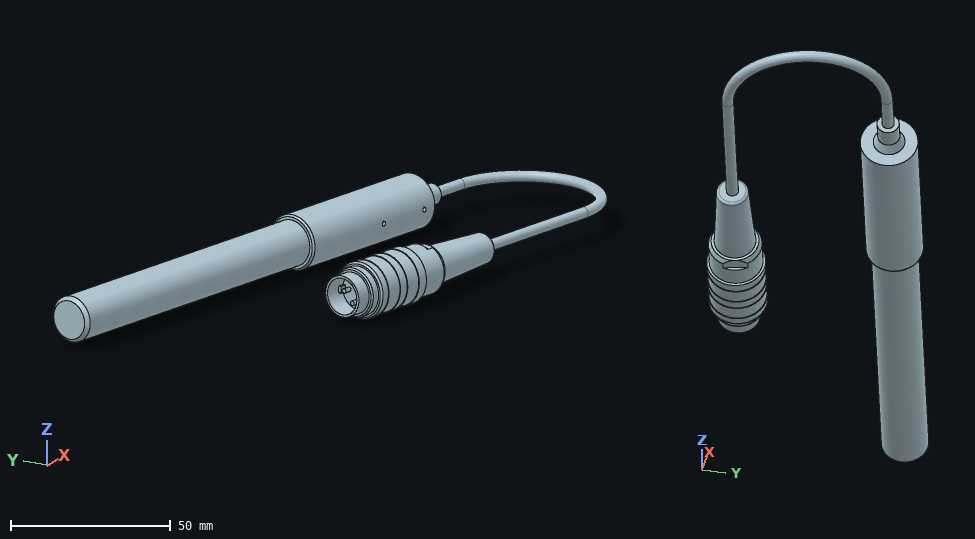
import cadquery as cq
import math

TILT = -13.1
LOOP_RADIUS = 25.0
AXIS_SPACING = 2 * LOOP_RADIUS
OVERCUT = 2.1

ROD_DIAMETER = 15.0
ROD_LENGTH = 110.0
ROD_TIP_CHAMFER = 1.3
HANDLE_DIAMETER = 18.2
HANDLE_LENGTH = 60.0
HANDLE_FRONT_CHAMFER = 0.6
NECK_BASE_DIAMETER = 10.0
NECK_DIAMETER = 7.0
NECK_CONE_LENGTH = 3.2
NECK_LENGTH = 10.1
HANDLE_END = ROD_LENGTH + HANDLE_LENGTH
NECK_END = HANDLE_END + NECK_LENGTH

SIDE_HOLE_DIAMETER = 1.5
SIDE_HOLE_DEPTH = 1.7
SIDE_HOLE_STATIONS = (HANDLE_END - 25.1, HANDLE_END - 5.0)

CABLE_DIAMETER = 3.8
LOOP_STATION = 193.8

PLUG_START = 74.2
NOSE_DIAMETER = 13.5
NOSE_LENGTH = 5.0
SHOULDER_DIAMETER = 16.0
SHOULDER_LENGTH = 3.2
SHOULDER_CHAMFER = 0.53
GRIP_RIB_DIAMETER = 18.5
GRIP_FRONT_CHAMFER = 0.6
GRIP_GROOVE_DIAMETER = 18.2
RIB_LENGTH = 3.5
GRIP_GROOVE_LENGTH = 5.7
RIB_COUNT = 3
TAIL_DIAMETER = 17.0
TAIL_END_DIAMETER = 15.0
TAIL_LENGTH = 11.5
TAIL_CHAMFER_LENGTH = 1.7
FLAT_HEIGHT = TAIL_END_DIAMETER / 2
FLAT_LENGTH = 4.0
NOSE_END = PLUG_START + NOSE_LENGTH
GRIP_START = NOSE_END + SHOULDER_LENGTH
GRIP_PITCH = RIB_LENGTH + GRIP_GROOVE_LENGTH
TAIL_START = GRIP_START + (RIB_COUNT - 1) * GRIP_PITCH + RIB_LENGTH
PLUG_END = TAIL_START + TAIL_LENGTH

SOCKET_DIAMETER = 11.8
SOCKET_DEPTH = 7.6
CONTACT_DIAMETER = 1.5
CONTACT_LENGTH = 2.5
CONTACT_CIRCLE_RADIUS = 3.4
CONTACT_COUNT = 4
KEY_WIDTH = 2.3
KEY_HEIGHT = 1.0
KEY_LENGTH = 2.1

BOOT_START_DIAMETER = 13.0
BOOT_END_DIAMETER = 10.1
BOOT_LENGTH = 27.9
BOOT_FILLET = 0.8
BOOT_END = PLUG_END + BOOT_LENGTH


def rod_along_x(diameter, start, end, y=0.0, z=0.0):
    """Cylinder whose axis is parallel to X."""
    plane = cq.Workplane("YZ", origin=(start, y, z))
    return plane.circle(diameter / 2).extrude(end - start)


def turned(profile):
    """Solid of revolution about X from (station, diameter) pairs."""
    outline = [(station, diameter / 2) for station, diameter in profile]
    outline = [(profile[0][0], 0)] + outline + [(profile[-1][0], 0)]
    return cq.Workplane("XY").polyline(outline).close().revolve(360, (0, 0, 0), (1, 0, 0))


def place(body, axis_offset=0.0):
    """Moves a body to its axis and tilts it about Z."""
    return body.translate((0, axis_offset, 0)).rotate((0, 0, 0), (0, 0, 1), TILT)


def make_probe():
    probe = turned([
        (0, ROD_DIAMETER - 2 * ROD_TIP_CHAMFER),
        (ROD_TIP_CHAMFER, ROD_DIAMETER),
        (ROD_LENGTH, ROD_DIAMETER),
        (ROD_LENGTH, HANDLE_DIAMETER - 2 * HANDLE_FRONT_CHAMFER),
        (ROD_LENGTH + HANDLE_FRONT_CHAMFER, HANDLE_DIAMETER),
        (HANDLE_END, HANDLE_DIAMETER),
        (HANDLE_END, NECK_BASE_DIAMETER),
        (HANDLE_END + NECK_CONE_LENGTH, NECK_DIAMETER),
        (NECK_END, NECK_DIAMETER),
    ])
    for station in SIDE_HOLE_STATIONS:
        floor = SIDE_HOLE_DEPTH - HANDLE_DIAMETER / 2
        plane = cq.Workplane("XZ", origin=(station, floor, 0))
        probe = probe.cut(plane.circle(SIDE_HOLE_DIAMETER / 2).extrude(SIDE_HOLE_DEPTH + OVERCUT))
    return place(probe)


def make_cable():
    path = (
        cq.Workplane("XY")
        .moveTo(NECK_END, 0)
        .lineTo(LOOP_STATION, 0)
        .threePointArc((LOOP_STATION + LOOP_RADIUS, -LOOP_RADIUS), (LOOP_STATION, -AXIS_SPACING))
        .lineTo(BOOT_END, -AXIS_SPACING)
    )
    section = cq.Workplane("YZ", origin=(NECK_END, 0, 0)).circle(CABLE_DIAMETER / 2)
    return place(section.sweep(path))


def plug_outline():
    """Outer (station, diameter) pairs of the plug."""
    profile = [
        (PLUG_START, NOSE_DIAMETER),
        (NOSE_END, NOSE_DIAMETER),
        (NOSE_END, SHOULDER_DIAMETER - 2 * SHOULDER_CHAMFER),
        (NOSE_END + SHOULDER_CHAMFER, SHOULDER_DIAMETER),
        (GRIP_START, SHOULDER_DIAMETER),
        (GRIP_START, GRIP_RIB_DIAMETER - 2 * GRIP_FRONT_CHAMFER),
    ]
    for rib in range(RIB_COUNT):
        start = GRIP_START + rib * GRIP_PITCH
        end = start + RIB_LENGTH
        full_width_start = start + GRIP_FRONT_CHAMFER if rib == 0 else start
        profile += [(full_width_start, GRIP_RIB_DIAMETER), (end, GRIP_RIB_DIAMETER)]
        if rib < RIB_COUNT - 1:
            profile += [(end, GRIP_GROOVE_DIAMETER), (start + GRIP_PITCH, GRIP_GROOVE_DIAMETER)]
    profile += [
        (TAIL_START, TAIL_DIAMETER),
        (PLUG_END - TAIL_CHAMFER_LENGTH, TAIL_DIAMETER),
        (PLUG_END, TAIL_END_DIAMETER),
    ]
    return profile


def make_plug():
    plug = turned(plug_outline())

    socket_floor = PLUG_START + SOCKET_DEPTH
    plug = plug.cut(rod_along_x(SOCKET_DIAMETER, PLUG_START, socket_floor))
    for contact in range(CONTACT_COUNT):
        angle = math.radians(360 / CONTACT_COUNT * contact)
        y = CONTACT_CIRCLE_RADIUS * math.cos(angle)
        z = CONTACT_CIRCLE_RADIUS * math.sin(angle)
        plug = plug.union(rod_along_x(CONTACT_DIAMETER, socket_floor - CONTACT_LENGTH, socket_floor, y, z))

    wall_middle = (SOCKET_DIAMETER + NOSE_DIAMETER) / 4
    key = cq.Workplane("XY").box(KEY_LENGTH, wall_middle - SOCKET_DIAMETER / 2 + KEY_HEIGHT, KEY_WIDTH)
    key_middle = (wall_middle + SOCKET_DIAMETER / 2 - KEY_HEIGHT) / 2
    plug = plug.union(key.translate((socket_floor - KEY_LENGTH / 2, key_middle, 0)))

    for side in (1, -1):
        cutter = cq.Workplane("XY").box(FLAT_LENGTH, TAIL_DIAMETER, OVERCUT)
        z = side * (FLAT_HEIGHT + OVERCUT / 2)
        plug = plug.cut(cutter.translate((PLUG_END - FLAT_LENGTH / 2, 0, z)))
    return place(plug, -AXIS_SPACING)


def make_boot():
    boot = turned([(PLUG_END, BOOT_START_DIAMETER), (BOOT_END, BOOT_END_DIAMETER)])
    return place(boot.faces(">X").edges().fillet(BOOT_FILLET), -AXIS_SPACING)


probe = make_probe()
cable = make_cable()
plug = make_plug()
boot = make_boot()

result = cq.Compound.makeCompound([probe.val(), cable.val(), plug.val(), boot.val()])